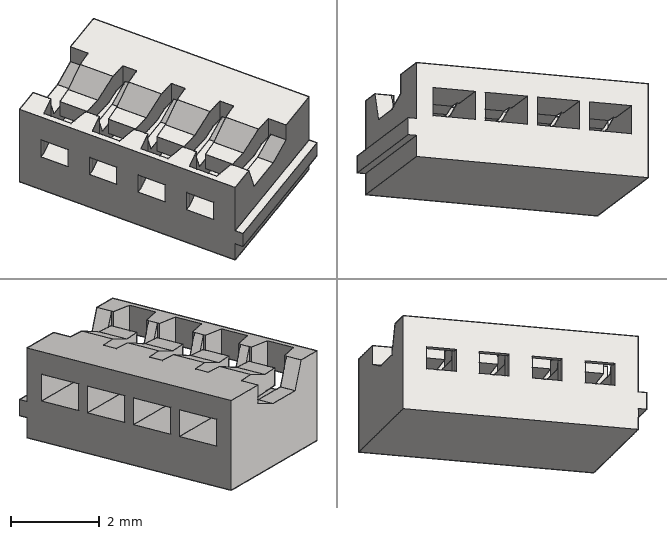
import cadquery as cq

total_length = 5.75
depth = 3.5
height = 2.2
key_width = 0.2
body_length = total_length - key_width

key_bottom = 0.495
key_height = 0.395

contact_count = 4
pitch = 1.25
first_contact_x = (body_length - (contact_count - 1) * pitch) / 2

cavity_width = 1.005
cavity_floor = 0.995
cavity_roof = 1.65
window_width = 0.7
window_height = 0.52
front_wall = 0.14

trough_back_y = 2.41
trough_bend_y = 1.8
trough_front_y = 0.895
trough_lip_y = 0.65
trough_back_z = height - 0.45
trough_floor_z = height - 0.665

finger_root_width = 0.895
finger_bend_y = 1.99
finger_flat_y = 1.345
finger_flat_z = height - 0.235

trough_slope = (trough_back_z - trough_floor_z) / (trough_back_y - trough_bend_y)
finger_underside_y = trough_bend_y + (cavity_roof - trough_floor_z) / trough_slope


def extrude_along_x(points, start_x, length):
    """Extrude a (Y, Z) outline in +X from start_x."""
    return cq.Workplane("YZ").workplane(offset=start_x).polyline(points).close().extrude(length)


def box(center_x, width, y_range, z_range):
    """Box centred on center_x, spanning the given Y and Z ranges."""
    size_y = y_range[1] - y_range[0]
    size_z = z_range[1] - z_range[0]
    corner = (center_x - width / 2, y_range[0], z_range[0])
    return cq.Workplane("XY").box(width, size_y, size_z, centered=False).translate(corner)


def tapered_prism(center_x, front, back, z_range):
    """Upright prism with a trapezoid plan; front and back are (Y, width) pairs."""
    front_y, front_width = front
    back_y, back_width = back
    plan = [
        (center_x - front_width / 2, front_y),
        (center_x + front_width / 2, front_y),
        (center_x + back_width / 2, back_y),
        (center_x - back_width / 2, back_y),
    ]
    prism = cq.Workplane("XY").workplane(offset=z_range[0]).polyline(plan).close()
    return prism.extrude(z_range[1] - z_range[0])


def trough():
    profile = [
        (trough_back_y, height),
        (trough_back_y, trough_back_z),
        (trough_bend_y, trough_floor_z),
        (trough_front_y, trough_floor_z),
        (trough_lip_y, height),
    ]
    return extrude_along_x(profile, 0, body_length)


def contact_opening(x):
    """Everything removed for one contact: cavity, front notch and window."""
    slot = box(x, cavity_width, (trough_lip_y, trough_back_y), (cavity_floor, height))
    rear = box(x, cavity_width, (trough_back_y, depth), (cavity_floor, cavity_roof))
    notch = tapered_prism(
        x, (front_wall, window_width), (trough_lip_y, finger_root_width), (cavity_floor, height)
    )
    window = box(x, window_width, (0, front_wall), (cavity_floor, cavity_floor + window_height))
    return slot.union(rear).union(notch).union(window)


def latch_finger(x):
    """Bent finger that narrows toward its free front end."""
    profile = [
        (trough_back_y, height),
        (finger_bend_y, height),
        (finger_flat_y, finger_flat_z),
        (trough_front_y, finger_flat_z),
        (trough_front_y, trough_floor_z),
        (trough_bend_y, trough_floor_z),
        (finger_underside_y, cavity_roof),
        (trough_back_y, cavity_roof),
    ]
    bar = extrude_along_x(profile, x - finger_root_width / 2, finger_root_width)
    plan = tapered_prism(
        x, (trough_front_y, window_width), (trough_back_y, finger_root_width), (0, height)
    )
    return bar.intersect(plan)


body = box(body_length / 2, body_length, (0, depth), (0, height))
key = box(body_length + key_width / 2, key_width, (0, depth), (key_bottom, key_bottom + key_height))
result = body.union(key).cut(trough())

for index in range(contact_count):
    contact_x = first_contact_x + index * pitch
    result = result.cut(contact_opening(contact_x)).union(latch_finger(contact_x))